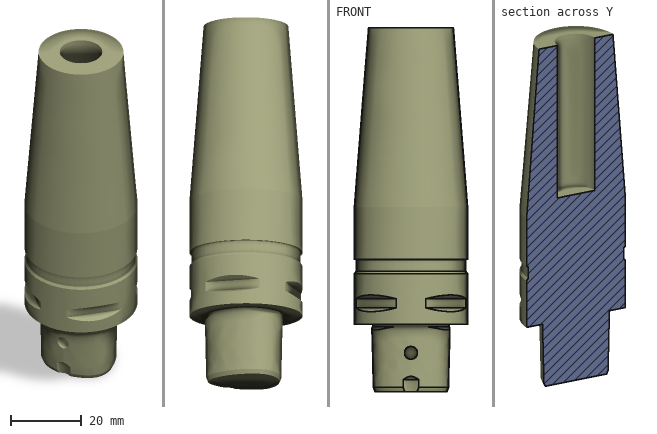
import cadquery as cq
import math

TOTAL_HEIGHT = 103.0
SHANK_CHAMFER_TOP = 1.2
TAPER_TOP = 16.7
FLANGE_BOTTOM = 19.1
GROOVE_BOTTOM = 34.1
GROOVE_TOP = 37.5
CONE_BOTTOM = 52.3

BODY_RADIUS = 32.0 / 2
NOSE_RADIUS = 24.0 / 2
GROOVE_RADIUS = 15.5
GROOVE_CHAMFER_HEIGHT = 0.7
GROOVE_ROOT_CHAMFER = 0.2
BORE_RADIUS = 12.0 / 2
BORE_DEPTH = 46.4

SHANK_RADIUS = 11.0
LOBE_HEIGHT = 0.6
OUTLINE_POINTS = 72
TAPER_PER_SIDE = 1 / 40
SHANK_CHAMFER = 0.5
RELIEF_RADIUS = 10.8
RELIEF_STRAIGHT = 0.7
RELIEF_FLARE = 1.4

SLOT_COUNT = 4
SLOT_MIDDLE = 25.0
SLOT_FLOOR_HEIGHT = 2.6
SLOT_MOUTH_HEIGHT = 4.7
SLOT_FLOOR_DISTANCE = 13.9
SLOT_CUT_CLEARANCE = 1.0

SIDE_HOLE_HEIGHT = 11.0
SIDE_HOLE_RADIUS = 3.6 / 2
SIDE_HOLE_DEPTH = 4.1
NOTCH_RADIUS = 2.9
NOTCH_AXIS_DISTANCE = 11.7
NOTCH_WALL_HEIGHT = 3.4
NOTCH_TIP_HEIGHT = 2.3


def make_body():
    """Revolved flange, groove, cylinder and conical nose with its blind bore."""
    profile = (
        cq.Workplane("XZ")
        .moveTo(0, FLANGE_BOTTOM)
        .lineTo(BODY_RADIUS, FLANGE_BOTTOM)
        .lineTo(BODY_RADIUS, GROOVE_BOTTOM - GROOVE_CHAMFER_HEIGHT)
        .lineTo(GROOVE_RADIUS, GROOVE_BOTTOM)
        .lineTo(GROOVE_RADIUS, GROOVE_TOP - GROOVE_ROOT_CHAMFER)
        .lineTo(GROOVE_RADIUS + GROOVE_ROOT_CHAMFER, GROOVE_TOP)
        .lineTo(BODY_RADIUS, GROOVE_TOP)
        .lineTo(BODY_RADIUS, CONE_BOTTOM)
        .lineTo(NOSE_RADIUS, TOTAL_HEIGHT)
        .lineTo(0, TOTAL_HEIGHT)
        .close()
    )
    bore = cq.Workplane("XY").workplane(offset=TOTAL_HEIGHT).circle(BORE_RADIUS).extrude(-BORE_DEPTH)
    return profile.revolve().cut(bore)


def lobed_wire(mean_radius, height):
    """Closed three-lobed outline of constant width 2 * mean_radius."""
    def point(turn):
        angle = 2 * math.pi * turn
        reach = mean_radius + LOBE_HEIGHT * math.cos(3 * angle)
        slide = -3 * LOBE_HEIGHT * math.sin(3 * angle)
        along = reach * math.cos(angle) - slide * math.sin(angle)
        across = reach * math.sin(angle) + slide * math.cos(angle)
        return (-across, along, height)

    return cq.Workplane("XY").parametricCurve(point, N=OUTLINE_POINTS).val()


def make_shank():
    """Straight collar, taper and end chamfer, with the lobes relieved under the flange."""
    chamfer_radius = SHANK_RADIUS - TAPER_PER_SIDE * (TAPER_TOP - SHANK_CHAMFER_TOP)
    sections = [
        (chamfer_radius - SHANK_CHAMFER, 0),
        (chamfer_radius, SHANK_CHAMFER_TOP),
        (SHANK_RADIUS, TAPER_TOP),
        (SHANK_RADIUS, FLANGE_BOTTOM),
    ]
    wires = [lobed_wire(radius, height) for radius, height in sections]
    shank = cq.Workplane(cq.Solid.makeLoft(wires, True))
    flare_top = FLANGE_BOTTOM - RELIEF_STRAIGHT
    envelope_radius = RELIEF_RADIUS + RELIEF_FLARE
    envelope = (
        cq.Workplane("XZ")
        .lineTo(envelope_radius, 0)
        .lineTo(envelope_radius, flare_top - RELIEF_FLARE)
        .lineTo(RELIEF_RADIUS, flare_top)
        .lineTo(RELIEF_RADIUS, FLANGE_BOTTOM)
        .lineTo(0, FLANGE_BOTTOM)
        .close()
        .revolve()
    )
    return shank.intersect(envelope)


def make_gripper_slots():
    """Flared straight slots, set midway between the X and Y axes."""
    flare = (SLOT_MOUTH_HEIGHT - SLOT_FLOOR_HEIGHT) / 2 / (BODY_RADIUS - SLOT_FLOOR_DISTANCE)
    outer_distance = BODY_RADIUS + SLOT_CUT_CLEARANCE
    floor_half = SLOT_FLOOR_HEIGHT / 2
    outer_half = floor_half + flare * (outer_distance - SLOT_FLOOR_DISTANCE)
    slot = (
        cq.Workplane("XZ")
        .polyline([
            (SLOT_FLOOR_DISTANCE, SLOT_MIDDLE - floor_half),
            (outer_distance, SLOT_MIDDLE - outer_half),
            (outer_distance, SLOT_MIDDLE + outer_half),
            (SLOT_FLOOR_DISTANCE, SLOT_MIDDLE + floor_half),
        ])
        .close()
        .extrude(BODY_RADIUS, both=True)
    )
    slots = cq.Workplane("XY")
    step = 360 / SLOT_COUNT
    for index in range(SLOT_COUNT):
        slots = slots.add(slot.rotate((0, 0, 0), (0, 0, 1), step * (index + 0.5)))
    return slots.combine()


def make_side_hole():
    """Blind radial hole entering from -Y."""
    flat_distance = SHANK_RADIUS - LOBE_HEIGHT
    return (
        cq.Workplane("XZ", origin=(0, -flat_distance + SIDE_HOLE_DEPTH, SIDE_HOLE_HEIGHT))
        .circle(SIDE_HOLE_RADIUS)
        .extrude(SHANK_RADIUS)
    )


def make_notch():
    """Upright round cutter with a conical tip, biting into the -Y flat at the bottom."""
    return (
        cq.Workplane("XZ")
        .lineTo(NOTCH_RADIUS, 0)
        .lineTo(NOTCH_RADIUS, NOTCH_WALL_HEIGHT)
        .lineTo(0, NOTCH_WALL_HEIGHT + NOTCH_TIP_HEIGHT)
        .close()
        .revolve()
        .translate((0, -NOTCH_AXIS_DISTANCE, 0))
    )


result = make_body().union(make_shank())
result = result.cut(make_gripper_slots()).cut(make_side_hole()).cut(make_notch())